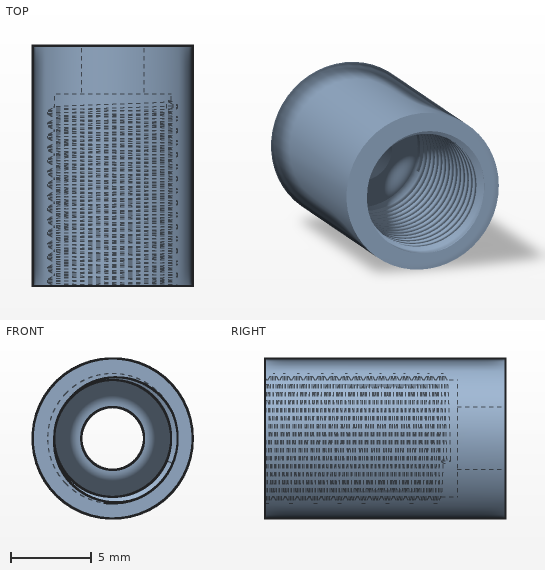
import cadquery as cq
import math

length = 15.0
outer_diameter = 10.0
through_diameter = 3.9
minor_diameter = 7.29
major_diameter = 8.12
pitch = 0.75
socket_depth = 12.0
start_angle = 22.5

flank_half_angle = 30.0
root_width = pitch / 4
root_radius = major_diameter / 2
minor_radius = minor_diameter / 2
overlap = 0.05
runout_turns = 1
floor_clearance = pitch


def sleeve():
    """Plain tube with a wide socket stepping down to a through hole."""
    body = cq.Workplane("XY").circle(outer_diameter / 2).extrude(length)
    socket = cq.Workplane("XY").circle(minor_radius).extrude(socket_depth)
    hole = cq.Workplane("XY").circle(through_diameter / 2).extrude(length)
    return body.cut(socket).cut(hole)


def thread_groove():
    """Right-hand helical groove around Z, with its root at the major diameter."""
    inner_radius = minor_radius - overlap
    half_root = root_width / 2
    half_mouth = half_root + (root_radius - inner_radius) * math.tan(math.radians(flank_half_angle))
    start = -runout_turns * pitch
    helix = cq.Wire.makeHelix(pitch, socket_depth - floor_clearance - start, minor_radius)
    profile = cq.Workplane("XZ").polyline([
        (inner_radius, -half_mouth),
        (root_radius, -half_root),
        (root_radius, half_root),
        (inner_radius, half_mouth),
    ]).close()
    groove = profile.sweep(cq.Workplane(obj=helix), isFrenet=True)
    return groove.translate((0, 0, start)).rotate((0, 0, 0), (0, 0, 1), start_angle)


threaded = sleeve().cut(thread_groove())

result = threaded.rotate((0, 0, 0), (1, 0, 0), -90).translate((0, -length / 2, 0))